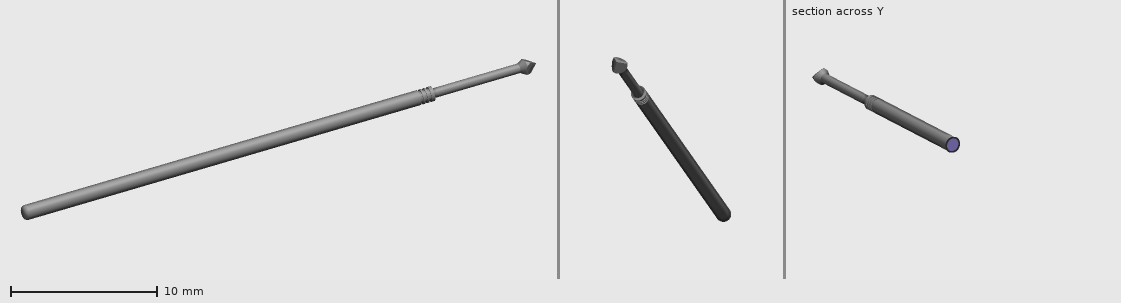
import math

import cadquery as cq

overall_length = 38.1

barrel_radius = 0.53
barrel_length = 30.4
tail_round_radius = 0.3

groove_count = 3
groove_width = 0.17
groove_depth = 0.08
groove_pitch = 0.3
first_groove_offset = 0.34

shaft_radius = 0.34

head_radius = 0.6
flare_length = 0.46
point_height = 0.84
point_side_distance = 0.46
point_sides = 3

head_base_y = overall_length - point_height
flare_start_y = head_base_y - flare_length


def cylinder_along_y(radius, start_y, length):
    """Round bar on the Y axis from start_y toward +Y."""
    return cq.Workplane("XZ", origin=(0, start_y, 0)).circle(radius).extrude(-length)


def make_groove(center_y):
    """Ring that is cut from the barrel to leave one rectangular groove."""
    start_y = center_y - groove_width / 2
    outer = cylinder_along_y(2 * barrel_radius, start_y, groove_width)
    core = cylinder_along_y(barrel_radius - groove_depth, start_y, groove_width)
    return outer.cut(core)


def make_barrel():
    """Barrel with a rounded tail and grooves near its rim."""
    barrel = cylinder_along_y(barrel_radius, 0, barrel_length)
    barrel = barrel.faces("<Y").edges().fillet(tail_round_radius)
    for index in range(groove_count):
        center_y = barrel_length - first_groove_offset - index * groove_pitch
        barrel = barrel.cut(make_groove(center_y))
    return barrel


def make_plunger_blank():
    """Round plunger before pointing: shaft, flare and head cylinder."""
    profile = [
        (0, barrel_length),
        (shaft_radius, barrel_length),
        (shaft_radius, flare_start_y),
        (head_radius, head_base_y),
        (head_radius, overall_length),
        (0, overall_length),
    ]
    return cq.Workplane("XY").polyline(profile).close().revolve(360, (0, 0, 0), (0, 1, 0))


def make_point_envelope():
    """Three-sided pyramid with its apex at the tip and one ridge toward -X.

    It reaches down to the foot of the shaft, so its sides also trim the rim of the flare.
    """
    height = overall_length - barrel_length
    side_distance = height * point_side_distance / point_height
    corner_distance = side_distance / math.cos(math.pi / point_sides)
    apex = cq.Vector(0, overall_length, 0)
    corners = []
    for index in range(point_sides):
        angle = math.pi + index * 2 * math.pi / point_sides
        x = corner_distance * math.cos(angle)
        z = corner_distance * math.sin(angle)
        corners.append(cq.Vector(x, barrel_length, z))

    faces = [cq.Face.makeFromWires(cq.Wire.makePolygon(corners, close=True))]
    for index in range(point_sides):
        side = [corners[index], corners[(index + 1) % point_sides], apex]
        faces.append(cq.Face.makeFromWires(cq.Wire.makePolygon(side, close=True)))
    return cq.Workplane(obj=cq.Solid.makeSolid(cq.Shell.makeShell(faces)))


plunger = make_plunger_blank().intersect(make_point_envelope())
result = make_barrel().union(plunger)